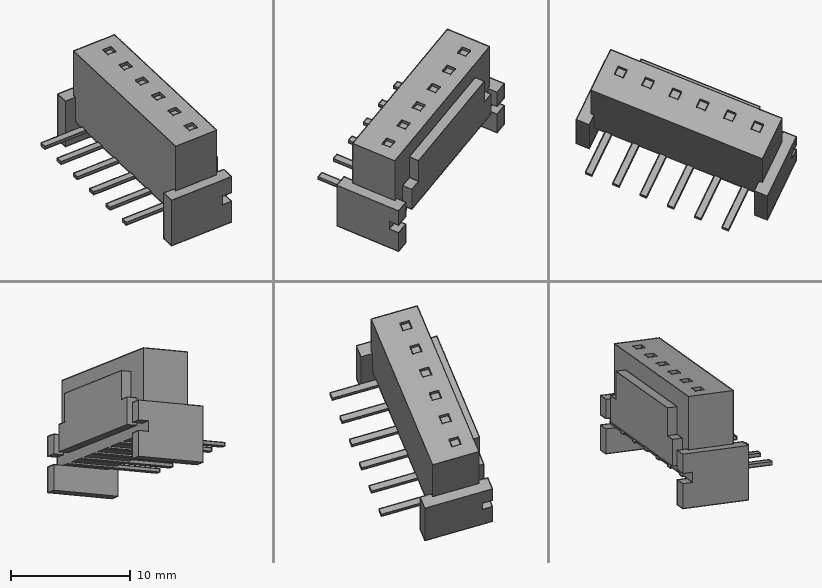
import cadquery as cq

overall_width = 17.5
overall_depth = 9.1
overall_height = 9.5

contact_count = 6
contact_pitch = 2.5
contact_span = (contact_count - 1) * contact_pitch

plate_thickness = 1.2
plate_depth = 6.0
plate_height = 4.8
notch_size = 0.9
notch_bottom = 2.2

body_width = 15.7
body_depth = 4.1
body_bottom = notch_bottom
body_rear = -notch_size
body_front = body_rear - body_depth

pocket_size = 0.8
pocket_depth = 0.3
pocket_setback = 1.55

pin_width = 0.6
pin_thickness = 0.3

rib_base_width = contact_span + pin_width
rib_shoulder_width = 1.1
rib_top_width = rib_base_width - 2 * rib_shoulder_width
rib_bottom = notch_bottom + notch_size
rib_shoulder_z = 5.45
rib_top = 7.9


def block(x_center, width, y_front, y_rear, z_bottom, z_top):
    """Box centred on x_center, given by its Y and Z limits."""
    depth = y_rear - y_front
    height = z_top - z_bottom
    box = cq.Workplane("XY").box(width, depth, height, centered=(True, False, False))
    return box.translate((x_center, y_front, z_bottom))


def side_plate(side):
    """Plate at one end of the body with a square notch in its rear edge."""
    x_center = side * (overall_width - plate_thickness) / 2
    plate = block(x_center, plate_thickness, -plate_depth, 0, 0, plate_height)
    notch = block(x_center, plate_thickness, -notch_size, 0, notch_bottom, notch_bottom + notch_size)
    return plate.cut(notch)


def rear_rib():
    """Raised rib on the rear face: a wide base with a narrower upper part."""
    base = block(0, rib_base_width, body_rear, 0, rib_bottom, rib_shoulder_z)
    upper = block(0, rib_top_width, body_rear, 0, rib_shoulder_z, rib_top)
    return base.union(upper)


def pin(x_center):
    """Flat pin running under the body and out to the front."""
    z_bottom = body_bottom - pin_thickness / 2
    return block(x_center, pin_width, -overall_depth, body_rear, z_bottom, z_bottom + pin_thickness)


def pocket(x_center):
    """Square blind pocket in the top face."""
    y_center = body_rear - pocket_setback
    y_front = y_center - pocket_size / 2
    y_rear = y_center + pocket_size / 2
    return block(x_center, pocket_size, y_front, y_rear, overall_height - pocket_depth, overall_height)


result = block(0, body_width, body_front, body_rear, body_bottom, overall_height)
result = result.union(rear_rib())

for side in (-1, 1):
    result = result.union(side_plate(side))

for index in range(contact_count):
    contact_x = index * contact_pitch - contact_span / 2
    result = result.union(pin(contact_x)).cut(pocket(contact_x))